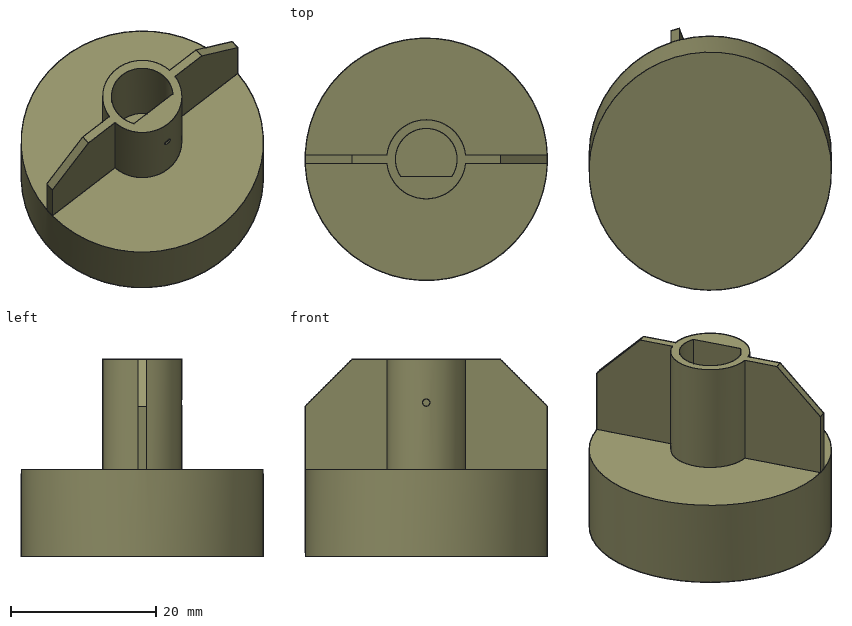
import cadquery as cq

base_diameter = 33.4
base_height = 12.0

post_diameter = 10.9
post_height = 15.2
bore_diameter = 8.5
bore_depth = post_height
flat_offset = 2.4

fin_thickness = 1.2
fin_corner_cut = 6.5

index_mark_diameter = 1.0
index_mark_depth = 0.25
index_mark_below_top = 6.0

total_height = base_height + post_height


def make_base():
    return cq.Workplane("XY").circle(base_diameter / 2).extrude(base_height)


def make_post():
    return (
        cq.Workplane("XY")
        .workplane(offset=base_height)
        .circle(post_diameter / 2)
        .extrude(post_height)
    )


def make_fins():
    """One plate spanning the base; its middle is absorbed by the post."""
    return (
        cq.Workplane("XY")
        .workplane(offset=base_height)
        .rect(base_diameter, fin_thickness)
        .extrude(post_height)
        .edges("|Y and >Z")
        .chamfer(fin_corner_cut)
    )


def make_bore():
    """D-shaped cutter whose flat faces the -Y side."""
    bore_radius = bore_diameter / 2
    bore_floor = total_height - bore_depth
    cylinder = (
        cq.Workplane("XY")
        .workplane(offset=bore_floor)
        .circle(bore_radius)
        .extrude(bore_depth)
    )
    kept_width = bore_radius + flat_offset
    kept_side = (
        cq.Workplane("XY")
        .workplane(offset=bore_floor)
        .center(0, kept_width / 2 - flat_offset)
        .rect(bore_diameter, kept_width)
        .extrude(bore_depth)
    )
    return cylinder.intersect(kept_side)


def make_index_mark():
    """Flat-bottomed radial cutter entering the post from the -Y side."""
    post_radius = post_diameter / 2
    return (
        cq.Workplane("XZ")
        .workplane(offset=post_radius - index_mark_depth)
        .center(0, total_height - index_mark_below_top)
        .circle(index_mark_diameter / 2)
        .extrude(index_mark_depth)
    )


body = make_base().union(make_post()).union(make_fins())
result = body.cut(make_bore()).cut(make_index_mark())